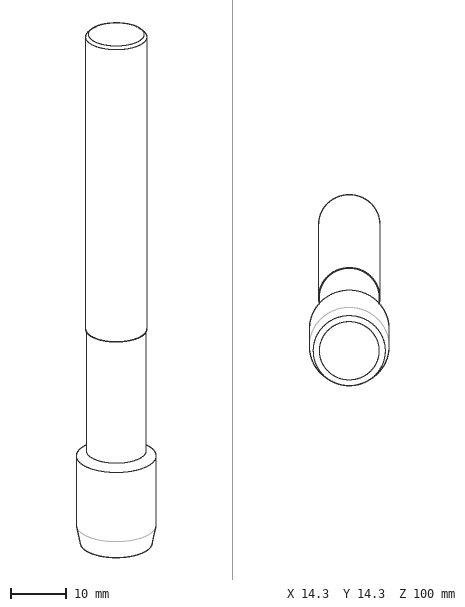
import cadquery as cq

TOTAL_LENGTH = 100.0
SHANK_START = 42.0
COLLAR_HEIGHT = 18.1
COLLAR_SHOULDER_DROP = 1.0
NOSE_HEIGHT = 3.5

SHANK_DIAMETER = 11.0
NECK_DIAMETER = 10.7
COLLAR_DIAMETER = 14.3
NOSE_END_DIAMETER = 12.9

END_CHAMFER_WIDTH = 0.5
END_CHAMFER_HEIGHT = 0.5


def revolve_about_z(profile):
    """Turn a closed (radius, height) profile into a solid around the Z axis."""
    return cq.Workplane("XZ").polyline(profile).close().revolve(360, (0, 0), (0, 1))


def make_rod():
    """Rod with a slightly thinner neck that runs through the collar."""
    neck_radius = NECK_DIAMETER / 2
    shank_radius = SHANK_DIAMETER / 2
    return revolve_about_z([
        (0, 0),
        (neck_radius, 0),
        (neck_radius, SHANK_START),
        (shank_radius, SHANK_START),
        (shank_radius, TOTAL_LENGTH - END_CHAMFER_HEIGHT),
        (shank_radius - END_CHAMFER_WIDTH, TOTAL_LENGTH),
        (0, TOTAL_LENGTH),
    ])


def make_collar():
    """Sleeve around the neck, with a tapered nose and a conical shoulder."""
    bore_radius = NECK_DIAMETER / 2
    collar_radius = COLLAR_DIAMETER / 2
    return revolve_about_z([
        (bore_radius, 0),
        (NOSE_END_DIAMETER / 2, 0),
        (collar_radius, NOSE_HEIGHT),
        (collar_radius, COLLAR_HEIGHT - COLLAR_SHOULDER_DROP),
        (bore_radius, COLLAR_HEIGHT),
    ])


rod = make_rod()
collar = make_collar()

result = cq.Compound.makeCompound([rod.val(), collar.val()])